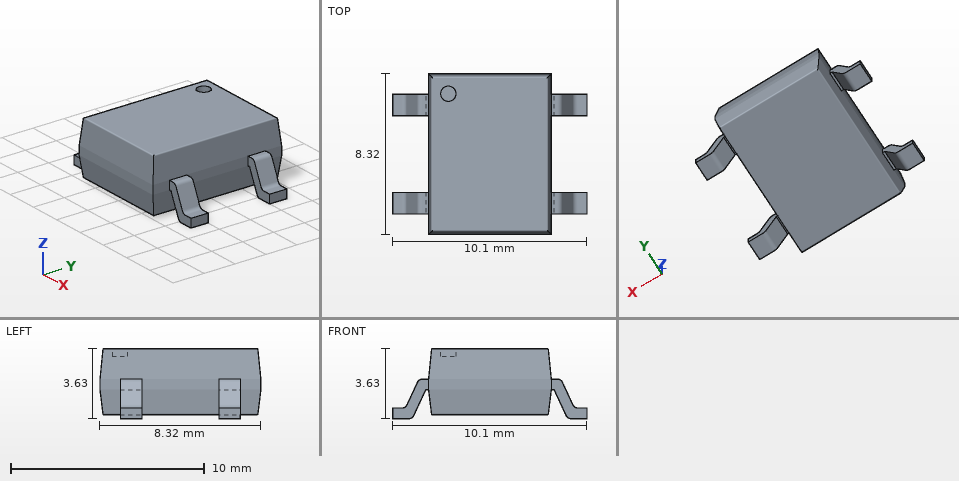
import cadquery as cq
import math

OVERALL_SPAN = 10.05
OVERALL_HEIGHT = 3.63

HOUSING_X = 6.35
HOUSING_Y = 8.32
STANDOFF = 0.20
UPPER_DRAFT = 5.7
LOWER_DRAFT = 7.0
EDGE_RADIUS = 0.08

DIMPLE_DIAMETER = 0.79
DIMPLE_X = -2.15
DIMPLE_Y = 3.12
DIMPLE_DEPTH = 0.40

LEAD_THICKNESS = 0.56
LEAD_WIDTH = 1.12
LEAD_PITCH = 5.08
LEAD_TOP_Z = 2.05
LEAD_SLOPE = 65.0
FOOT_LENGTH = 0.66
BEND_RADIUS = 0.28

BAND_TOP_Z = LEAD_TOP_Z
BAND_BOTTOM_Z = LEAD_TOP_Z - LEAD_THICKNESS


def housing_section(base_z, height, draft=0):
    """Rectangular section of the housing, narrowing away from base_z by the draft angle."""
    outline = cq.Workplane("XY", origin=(0, 0, base_z)).rect(HOUSING_X, HOUSING_Y)
    return outline.extrude(height, taper=draft)


def make_housing():
    """Moulded block: vertical parting band with drafted walls above and below."""
    band = housing_section(BAND_BOTTOM_Z, LEAD_THICKNESS)
    upper = housing_section(BAND_TOP_Z, OVERALL_HEIGHT - BAND_TOP_Z, UPPER_DRAFT)
    lower = housing_section(BAND_BOTTOM_Z, STANDOFF - BAND_BOTTOM_Z, LOWER_DRAFT)
    block = band.union(upper).union(lower)
    block = block.faces(">Z or <Z").edges().fillet(EDGE_RADIUS)

    dimple = (
        cq.Workplane("XY", origin=(DIMPLE_X, DIMPLE_Y, OVERALL_HEIGHT - DIMPLE_DEPTH))
        .circle(DIMPLE_DIAMETER / 2)
        .extrude(DIMPLE_DEPTH)
    )
    return block.cut(dimple)


def make_lead(y_center):
    """Gull-wing lead on the -X side, ending flush against the parting band."""
    tip_x = -OVERALL_SPAN / 2
    root_x = -HOUSING_X / 2
    slope = math.radians(LEAD_SLOPE)
    slope_run = BAND_BOTTOM_Z / math.tan(slope)
    corner_shift = LEAD_THICKNESS * math.tan(slope / 2)

    foot_corner_x = tip_x + FOOT_LENGTH
    shoulder_x = foot_corner_x + slope_run
    profile = [
        (tip_x, 0),
        (tip_x, LEAD_THICKNESS),
        (foot_corner_x, LEAD_THICKNESS),
        (shoulder_x, LEAD_TOP_Z),
        (root_x, LEAD_TOP_Z),
        (root_x, BAND_BOTTOM_Z),
        (shoulder_x + corner_shift, BAND_BOTTOM_Z),
        (foot_corner_x + corner_shift, 0),
    ]
    lead = (
        cq.Workplane("XZ", origin=(0, y_center, 0))
        .polyline(profile)
        .close()
        .extrude(LEAD_WIDTH / 2, both=True)
    )
    rounded_corners = [
        (foot_corner_x, y_center, LEAD_THICKNESS),
        (shoulder_x, y_center, LEAD_TOP_Z),
        (foot_corner_x + corner_shift, y_center, 0),
    ]
    for corner in rounded_corners:
        lead = lead.edges(cq.selectors.NearestToPointSelector(corner)).fillet(BEND_RADIUS)
    return lead


housing = make_housing()

leads = []
for y_center in (-LEAD_PITCH / 2, LEAD_PITCH / 2):
    lead = make_lead(y_center)
    leads.append(lead.val())
    leads.append(lead.mirror("YZ").val())

result = cq.Compound.makeCompound([housing.val(), *leads])